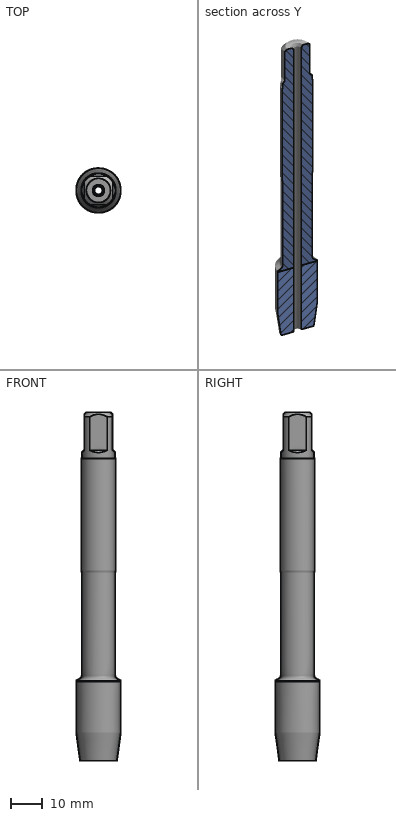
import cadquery as cq
import math

total_length = 110.0
coolant_bore_diameter = 2.5

head_diameter = 14.18
tip_diameter = 11.7
lead_length = 9.0
head_length = 25.0

rim_length = 0.3
shoulder_angle = 30.0
shoulder_fillet_radius = 1.0
neck_diameter = 10.7
shank_diameter = 11.0
shank_length = 50.0
shank_step_angle = 15.0
drive_diameter = 10.56
drive_length = 14.5
end_diameter = 7.6

square_width = 9.0
flat_length = 12.0
flat_runout_angle = 45.0

centre_hole_diameter = 3.7
centre_hole_angle = 60.0


def make_head():
    """Tapered cutting head, with the bore through it."""
    bore_radius = coolant_bore_diameter / 2
    head_radius = head_diameter / 2
    return (
        cq.Workplane("XZ")
        .moveTo(bore_radius, 0)
        .lineTo(tip_diameter / 2, 0)
        .lineTo(head_radius, lead_length)
        .lineTo(head_radius, head_length)
        .lineTo(bore_radius, head_length)
        .close()
        .revolve(360, (0, 0), (0, 1))
    )


def make_shank_blank():
    """Turned shank seated on the head, before the drive square is cut."""
    bore_radius = coolant_bore_diameter / 2
    neck_radius = neck_diameter / 2
    shank_radius = shank_diameter / 2
    drive_radius = drive_diameter / 2
    head_radius = head_diameter / 2
    centre_hole_radius = centre_hole_diameter / 2

    slope = math.radians(shoulder_angle)
    rim_top = head_length + rim_length
    shoulder_top = rim_top + (head_radius - neck_radius) * math.tan(slope)
    turn = math.pi / 2 - slope
    tangent_length = shoulder_fillet_radius * math.tan(turn / 2)
    fillet_centre = (neck_radius + shoulder_fillet_radius, shoulder_top + tangent_length)

    def fillet_point(angle):
        """Point on the blend arc, with angle 0 at the neck."""
        return (
            fillet_centre[0] - shoulder_fillet_radius * math.cos(angle),
            fillet_centre[1] - shoulder_fillet_radius * math.sin(angle),
        )

    shank_start = total_length - shank_length
    shank_step_length = (shank_radius - neck_radius) / math.tan(math.radians(shank_step_angle))
    drive_start = total_length - drive_length
    drive_chamfer = shank_radius - drive_radius
    end_chamfer = drive_radius - end_diameter / 2
    centre_hole_depth = (centre_hole_radius - bore_radius) / math.tan(math.radians(centre_hole_angle / 2))

    return (
        cq.Workplane("XZ")
        .moveTo(bore_radius, head_length)
        .lineTo(head_radius, head_length)
        .lineTo(head_radius, rim_top)
        .lineTo(*fillet_point(turn))
        .threePointArc(fillet_point(turn / 2), fillet_point(0))
        .lineTo(neck_radius, shank_start - shank_step_length)
        .lineTo(shank_radius, shank_start)
        .lineTo(shank_radius, drive_start - drive_chamfer)
        .lineTo(drive_radius, drive_start)
        .lineTo(drive_radius, total_length - end_chamfer)
        .lineTo(end_diameter / 2, total_length)
        .lineTo(centre_hole_radius, total_length)
        .lineTo(bore_radius, total_length - centre_hole_depth)
        .close()
        .revolve(360, (0, 0), (0, 1))
    )


def make_flat_cutter():
    """Block outside the +X flat; its lower end slopes out to the shank surface."""
    flat_distance = square_width / 2
    depth = shank_diameter / 2 - flat_distance
    flat_end = total_length - flat_length
    runout_length = depth / math.tan(math.radians(flat_runout_angle))
    return (
        cq.Workplane("XZ")
        .moveTo(flat_distance, total_length)
        .lineTo(flat_distance, flat_end)
        .lineTo(flat_distance + depth, flat_end - runout_length)
        .lineTo(flat_distance + depth, total_length)
        .close()
        .extrude(shank_diameter / 2, both=True)
    )


def make_shank():
    """Shank with the four flats of the drive square."""
    shank = make_shank_blank()
    flat_cutter = make_flat_cutter()
    for quarter in range(4):
        shank = shank.cut(flat_cutter.rotate((0, 0, 0), (0, 0, 1), 90 * quarter))
    return shank


head = make_head()
shank = make_shank()
result = cq.Compound.makeCompound([head.val(), shank.val()])